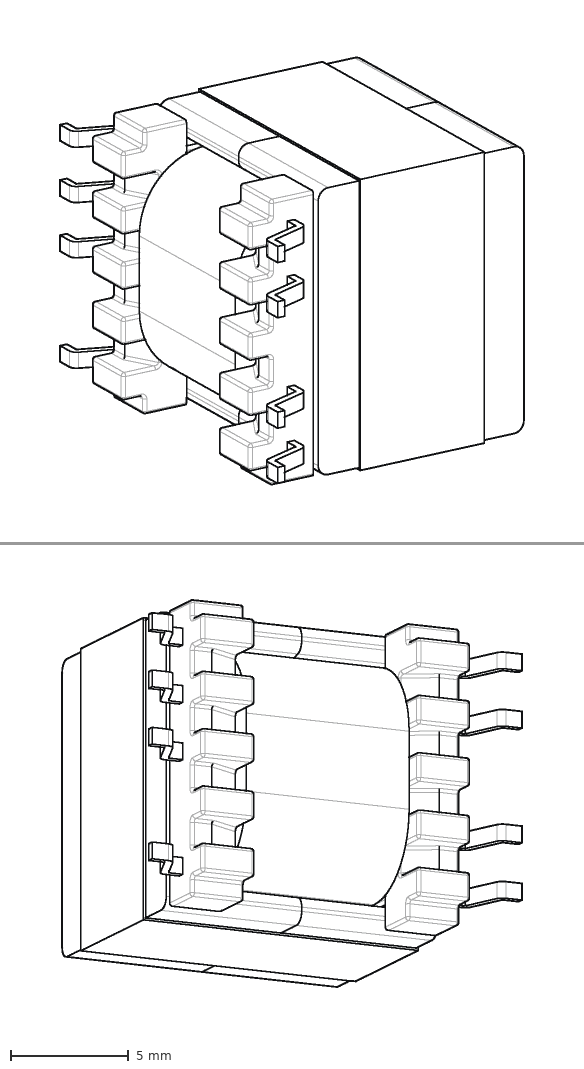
import cadquery as cq
import math


corner_y = 4.35
corner_half_z = 1.7
post_radius = 0.85
bore_radius = 1.06
barrel_radius = 1.35
winding_radius = 3.43
window_radius = 3.48

core_half_x = 6.36
core_half_z = 6.5
core_front_y = corner_y - post_radius
core_back_y = 13.8
core_edge_radius = 0.5
window_half_x = 4.52
window_half_z = corner_half_z + window_radius
leg_thickness = core_half_z - window_half_z
mouth_half_z = 5.43
mouth_draft = 15.0
back_corner_y = core_back_y - leg_thickness - window_radius

tape_half_z = 13.2 / 2
tape_thickness = tape_half_z - core_half_z
tape_front_y = 5.55
tape_back_y = 11.75

rail_inner_x = 3.83
rail_outer_x = 6.31
rail_half_z = 6.47
rail_back_y = corner_y - bore_radius
rail_floor_y = 1.15
tooth_tip_y = 0.09
tooth_width = 1.23
tooth_rows = (-2, -1, 0, 1, 2)
row_pitch = 2.5
edge_radius = 0.14
ramp_start_x = 5.34
ramp_angle = 28.0
flange_outer_x = 4.42
flange_half_z = 5.05

pin_tip_x = 8.7
pin_width = 0.73
pin_thickness = 0.35
pin_exit_y = 1.98
pin_bend_x = 6.97
pin_slope = 70.0
pin_embed = 0.17
left_pin_rows = (-2, 0, 1, 2)
right_pin_rows = (-2, -1, 1, 2)

pick_margin = 0.17


def rounded_bar(radius, half_x):
    """Bar along X whose rounded outline lies at the given distance from the corner centres."""
    front_y = corner_y - radius
    back_y = back_corner_y + radius
    half_z = corner_half_z + radius
    bar = cq.Workplane("XY").box(2 * half_x, back_y - front_y, 2 * half_z)
    return bar.edges("|X").fillet(radius).translate((0, (front_y + back_y) / 2, 0))


def make_whole_core():
    """Closed block with a window that opens through a flared mouth, and the winding post."""
    depth = core_back_y - core_front_y
    block = cq.Workplane("XY").box(2 * core_half_x, depth, 2 * core_half_z)
    block = block.edges("|X").fillet(core_edge_radius)
    block = block.translate((0, (core_front_y + core_back_y) / 2, 0))

    flare_depth = (mouth_half_z - window_half_z) / math.tan(math.radians(mouth_draft))
    flare_y = core_front_y + flare_depth
    window_back_y = back_corner_y + window_radius
    window = (
        cq.Workplane("YZ", origin=(-window_half_x, 0, 0))
        .moveTo(core_front_y, -mouth_half_z)
        .lineTo(flare_y, -window_half_z)
        .lineTo(window_back_y, -window_half_z)
        .lineTo(window_back_y, window_half_z)
        .lineTo(flare_y, window_half_z)
        .lineTo(core_front_y, mouth_half_z)
        .close()
        .extrude(2 * window_half_x)
    )
    window = window.edges("|X and >Y").fillet(window_radius)
    block = block.cut(window)

    mouth_edges = cq.selectors.BoxSelector(
        (-window_half_x, core_front_y - pick_margin, -mouth_half_z - pick_margin),
        (window_half_x, core_front_y + pick_margin, mouth_half_z + pick_margin),
    )
    block = block.edges("|X").edges(mouth_edges).fillet(core_edge_radius)
    return block.union(rounded_bar(post_radius, window_half_x))


def make_core_half(side):
    """Half of the core on the -X (side = -1) or +X (side = 1) side of the joint plane X = 0."""
    depth = core_back_y - core_front_y
    half_space = cq.Workplane("XY").box(core_half_x, depth, 2 * core_half_z)
    half_space = half_space.translate((side * core_half_x / 2, core_front_y + depth / 2, 0))
    return make_whole_core().intersect(half_space)


def make_tape():
    """Band wrapped around the four sides of the core."""
    outer_half_x = core_half_x + tape_thickness
    band = (
        cq.Workplane("XZ")
        .rect(2 * outer_half_x, 2 * tape_half_z)
        .rect(2 * core_half_x, 2 * core_half_z)
        .extrude(tape_front_y - tape_back_y)
    )
    return band.translate((0, tape_front_y, 0))


def make_winding():
    """Wire coil between the flanges, filling the space around the barrel."""
    coil = rounded_bar(winding_radius, rail_inner_x)
    return coil.cut(rounded_bar(barrel_radius, rail_inner_x))


def make_rail():
    """Right-hand rail with a tooth at each row and a wire ramp between neighbouring teeth."""
    bar = cq.Workplane("XY").box(
        rail_outer_x - rail_inner_x, rail_back_y - rail_floor_y, 2 * rail_half_z
    )
    middle_x = (rail_inner_x + rail_outer_x) / 2
    rail = bar.translate((middle_x, (rail_back_y + rail_floor_y) / 2, 0))

    middle_y = (rail_back_y + tooth_tip_y) / 2
    for row in tooth_rows:
        tooth = cq.Workplane("XY").box(
            rail_outer_x - rail_inner_x, rail_back_y - tooth_tip_y, tooth_width
        )
        rail = rail.union(tooth.translate((middle_x, middle_y, row * row_pitch)))

    ramp_depth = (ramp_start_x - rail_inner_x) * math.tan(math.radians(ramp_angle))
    gap_width = row_pitch - tooth_width
    for row in tooth_rows[:-1]:
        ramp = (
            cq.Workplane("XY")
            .moveTo(ramp_start_x, rail_floor_y)
            .lineTo(rail_inner_x, rail_floor_y)
            .lineTo(rail_inner_x, rail_floor_y + ramp_depth)
            .close()
            .extrude(gap_width)
        )
        rail = rail.cut(ramp.translate((0, 0, row * row_pitch + tooth_width / 2)))

    back_edges = rail.faces(">Y").edges()
    ramp_starts = rail.edges("|Z").edges(
        cq.selectors.BoxSelector(
            (ramp_start_x - pick_margin, rail_floor_y - pick_margin, -rail_half_z),
            (ramp_start_x + pick_margin, rail_floor_y + pick_margin, rail_half_z),
        )
    )
    kept_sharp = back_edges.vals() + ramp_starts.vals()
    rounded = [edge for edge in rail.edges().vals() if not any(edge.isSame(k) for k in kept_sharp)]
    return rail.newObject(rounded).fillet(edge_radius)


def make_pin():
    """Right-hand gull-wing pin: inner bends are sharp, outer bends are one thickness in radius."""
    slope = math.radians(pin_slope)
    across = (pin_thickness * math.sin(slope), pin_thickness * math.cos(slope))
    half_across = (pin_thickness * math.sin(slope / 2), pin_thickness * math.cos(slope / 2))
    drop = pin_exit_y + across[1] - pin_thickness
    foot_bend_x = pin_bend_x + across[0] + drop / math.tan(slope)
    pin = (
        cq.Workplane("XY")
        .moveTo(rail_outer_x - pin_embed, pin_exit_y)
        .lineTo(pin_bend_x, pin_exit_y)
        .lineTo(foot_bend_x - across[0], pin_thickness - across[1])
        .threePointArc(
            (foot_bend_x - half_across[0], pin_thickness - half_across[1]), (foot_bend_x, 0)
        )
        .lineTo(pin_tip_x, 0)
        .lineTo(pin_tip_x, pin_thickness)
        .lineTo(foot_bend_x, pin_thickness)
        .lineTo(pin_bend_x + across[0], pin_exit_y + across[1])
        .threePointArc(
            (pin_bend_x + half_across[0], pin_exit_y + half_across[1]),
            (pin_bend_x, pin_exit_y + pin_thickness),
        )
        .lineTo(rail_outer_x - pin_embed, pin_exit_y + pin_thickness)
        .close()
        .extrude(pin_width)
    )
    return pin.translate((0, 0, -pin_width / 2))


def make_flange():
    """Right-hand end flange, which carries the rail and reaches back inside the core window."""
    back_y = back_corner_y + winding_radius
    flange = cq.Workplane("XY").box(
        flange_outer_x - rail_inner_x, back_y - rail_back_y, 2 * flange_half_z
    )
    flange = flange.edges("|X and >Y").fillet(winding_radius)
    flange = flange.faces("<X").edges("not <Y").fillet(edge_radius)
    return flange.translate(((rail_inner_x + flange_outer_x) / 2, (back_y + rail_back_y) / 2, 0))


def make_bobbin():
    """Barrel, two flanges, two toothed rails and the moulded-in pins, as one piece."""
    bobbin = rounded_bar(barrel_radius, flange_outer_x)
    right_end = make_flange().union(make_rail())
    bobbin = bobbin.union(right_end).union(right_end.mirror("YZ"))
    bobbin = bobbin.cut(rounded_bar(bore_radius, flange_outer_x))

    right_pin = make_pin()
    left_pin = right_pin.mirror("YZ")
    for pin, rows in ((right_pin, right_pin_rows), (left_pin, left_pin_rows)):
        for row in rows:
            bobbin = bobbin.union(pin.translate((0, 0, row * row_pitch)))
    return bobbin


core_halves = [make_core_half(side) for side in (-1, 1)]
tape = make_tape()
winding = make_winding()
bobbin = make_bobbin()

result = cq.Compound.makeCompound(
    [*(half.val() for half in core_halves), tape.val(), winding.val(), bobbin.val()]
)